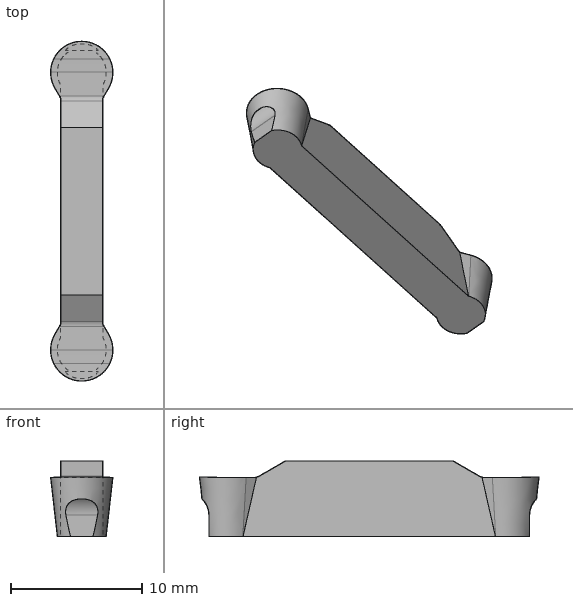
import cadquery as cq
import math

length = 25.9
height = 5.78
body_width = 3.2

tip_height = 4.55
tip_radius = 2.38
foot_radius = 1.87
neck_angle = math.radians(30)

floor_height = 4.5
rake_end = 1.35
rake_blend_end = 2.35
ramp_blend_start = 4.17
ramp_angle = math.radians(30)
ramp_blend_radius = 0.78

relief_depth = 0.73
relief_flat_height = 1.63
relief_top = 2.85
relief_radius = 1.7

tip_y = length / 2
head_y = tip_y - tip_radius
bottom_z = -height / 2
top_z = height / 2
taper = (tip_radius - foot_radius) / tip_height
blank_radius = foot_radius + taper * height


def neck_section(sketch, radius):
    """Triangle whose two flanks are tangent to a head circle."""
    half_width = radius * math.cos(neck_angle)
    base_y = head_y - radius * math.sin(neck_angle)
    apex_y = head_y - radius / math.sin(neck_angle)
    return sketch.polyline([(-half_width, base_y), (half_width, base_y), (0, apex_y)]).close()


def relief_cutter():
    """Vertical front face running out to the head through a concave arc."""
    wall_y = tip_y - relief_depth
    flat_z = bottom_z + relief_flat_height
    arc_center_y = wall_y + relief_radius
    rise = relief_top - relief_flat_height
    edge_y = arc_center_y - math.sqrt(relief_radius**2 - rise**2)
    middle_angle = math.asin(rise / relief_radius) / 2
    middle = (
        arc_center_y - relief_radius * math.cos(middle_angle),
        flat_z + relief_radius * math.sin(middle_angle),
    )
    return (
        cq.Workplane("YZ")
        .moveTo(wall_y, bottom_z)
        .lineTo(wall_y, flat_z)
        .threePointArc(middle, (edge_y, bottom_z + relief_top))
        .lineTo(tip_y, bottom_z + relief_top)
        .lineTo(tip_y, bottom_z)
        .close()
        .extrude(tip_radius, both=True)
    )


def make_head():
    """Full-height +Y head and neck, with its front relief."""
    cone = (
        cq.Workplane("XY", origin=(0, head_y, bottom_z))
        .circle(foot_radius)
        .workplane(offset=height)
        .circle(blank_radius)
        .loft()
    )
    base = neck_section(cq.Workplane("XY", origin=(0, 0, bottom_z)), foot_radius)
    neck = neck_section(base.workplane(offset=height), blank_radius).loft(ruled=True)
    return cone.union(neck).cut(relief_cutter())


def half_envelope():
    """Side profile of the +Y half, extruded across the part."""
    floor_z = bottom_z + floor_height
    blend_y = tip_y - ramp_blend_start

    def ramp_blend_point(angle):
        return (
            blend_y - ramp_blend_radius * math.sin(angle),
            floor_z + ramp_blend_radius * (1 - math.cos(angle)),
        )

    rake_corner = (rake_end + rake_blend_end) / 2
    rake_slope = (tip_height - floor_height) / rake_corner
    rake_start_z = bottom_z + tip_height - rake_slope * rake_end
    ramp_start = ramp_blend_point(ramp_angle)
    ramp_end_y = ramp_start[0] - (top_z - ramp_start[1]) / math.tan(ramp_angle)
    return (
        cq.Workplane("YZ")
        .moveTo(0, bottom_z)
        .lineTo(tip_y, bottom_z)
        .lineTo(tip_y, bottom_z + tip_height)
        .lineTo(tip_y - rake_end, rake_start_z)
        .tangentArcPoint((tip_y - rake_blend_end, floor_z), relative=False)
        .lineTo(blend_y, floor_z)
        .threePointArc(ramp_blend_point(ramp_angle / 2), ramp_start)
        .lineTo(ramp_end_y, top_z)
        .lineTo(0, top_z)
        .close()
        .extrude(blank_radius, both=True)
    )


body = cq.Workplane("XY").box(body_width, head_y, height).translate((0, head_y / 2, 0))
half = body.union(make_head()).intersect(half_envelope())
result = half.union(half.mirror("XZ"))